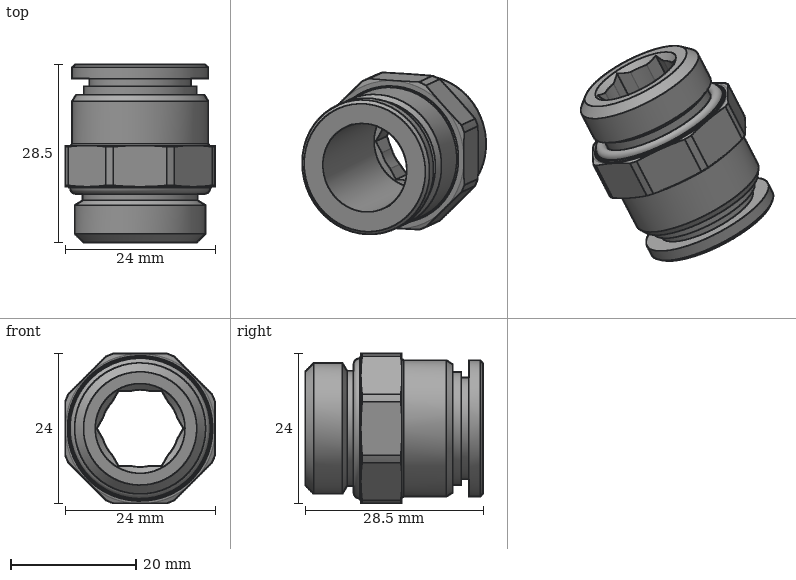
import cadquery as cq
import math

LENGTH = 28.5

end_face_radius = 9.05
thread_radius = 10.5
thread_chamfer_end = 1.4
thread_end = 5.98
neck_start = 6.73
neck_radius = 9.23

ring_section_radius = 1.0
ring_start = 7.75
ring_center_y = ring_start + ring_section_radius
ring_center_radius = neck_radius + ring_section_radius
gland_radius = ring_center_radius + ring_section_radius
gland_floor = ring_center_y + ring_section_radius
lip_radius = 11.4
lip_start = ring_center_y

octagon_start = 8.95
octagon_end = 15.5
octagon_width = 24.0
octagon_sides = 8
octagon_corner_radius = 12.75
octagon_face_radius = octagon_width / 2
octagon_chamfer_length = 0.2
relief_outer_radius = 11.63
relief_depth = 0.1

barrel_radius = 10.92
barrel_foot_radius = 11.12
barrel_foot_end = 15.8
barrel_chamfer_start = 22.63
barrel_end = 23.65
barrel_end_radius = 10.25

shoulder_radius = 9.05
shoulder_end = 25.0
collar_neck_radius = 8.15
flange_start = 26.22
flange_radius = barrel_radius
flange_chamfer_start = 28.02
flange_end_radius = 10.37

bore_radius = 7.18
socket_end = 5.4
socket_width = 11.97
socket_sides = 6
socket_relief_radius = 6.15
mouth_chamfer_depth = bore_radius - socket_relief_radius


def revolve_about_y(profile):
    """Turn a closed (radius, Y) profile into a solid of revolution."""
    return profile.close().revolve(360, (0, 0, 0), (0, 1, 0))


def prism_along_y(across_flats, sides, turn, start, end):
    """Regular prism along Y; a zero turn puts a corner on +X."""
    diameter = across_flats / math.cos(math.pi / sides)
    prism = cq.Workplane("XZ").polygon(sides, diameter).extrude(start - end)
    return prism.rotate((0, 0, 0), (0, 1, 0), turn).translate((0, start, 0))


def cylinder_along_y(radius, start, end):
    return cq.Workplane("XZ").circle(radius).extrude(start - end).translate((0, start, 0))


def make_turned_shape():
    """Turned outside of the body, still without octagon and bore."""
    return revolve_about_y(cq.Workplane("XY").polyline([
        (0, 0),
        (end_face_radius, 0),
        (thread_radius, thread_chamfer_end),
        (thread_radius, thread_end),
        (neck_radius, neck_start),
        (neck_radius, octagon_start),
        (barrel_foot_radius, octagon_start),
        (barrel_foot_radius, octagon_end),
        (barrel_radius, barrel_foot_end),
        (barrel_radius, barrel_chamfer_start),
        (barrel_end_radius, barrel_end),
        (shoulder_radius, barrel_end),
        (shoulder_radius, shoulder_end),
        (collar_neck_radius, shoulder_end),
        (collar_neck_radius, flange_start),
        (flange_radius, flange_start),
        (flange_radius, flange_chamfer_start),
        (flange_end_radius, LENGTH),
        (0, LENGTH),
    ]))


def make_octagon():
    """Octagon whose corners are turned round and chamfered at both ends."""
    half_corner_angle = 180 / octagon_sides
    octagon = prism_along_y(octagon_width, octagon_sides, half_corner_angle, octagon_start, octagon_end)
    envelope = revolve_about_y(cq.Workplane("XY").polyline([
        (0, octagon_start),
        (octagon_face_radius, octagon_start),
        (octagon_corner_radius, octagon_start + octagon_chamfer_length),
        (octagon_corner_radius, octagon_end - octagon_chamfer_length),
        (octagon_face_radius, octagon_end),
        (0, octagon_end),
    ]))
    return octagon.intersect(envelope)


def annulus_along_y(outer_radius, inner_radius, start, end):
    return cylinder_along_y(outer_radius, start, end).cut(cylinder_along_y(inner_radius, start, end))


def make_bore():
    """Through bore that narrows to a hexagon socket behind a 45 degree mouth."""
    mouth = revolve_about_y(cq.Workplane("XY").polyline([
        (0, 0),
        (bore_radius, 0),
        (socket_relief_radius, mouth_chamfer_depth),
        (0, mouth_chamfer_depth),
    ]))
    socket = prism_along_y(socket_width, socket_sides, 0, 0, socket_end)
    socket_relief = cylinder_along_y(socket_relief_radius, 0, socket_end)
    rear_bore = cylinder_along_y(bore_radius, socket_end, LENGTH)
    return socket.union(socket_relief).union(mouth).union(rear_bore)


def make_body():
    lip = annulus_along_y(lip_radius, gland_radius, lip_start, octagon_start + relief_depth)
    relief = annulus_along_y(relief_outer_radius, lip_radius, octagon_start, octagon_start + relief_depth)
    gland = annulus_along_y(gland_radius, neck_radius, lip_start, gland_floor)
    body = make_turned_shape().union(make_octagon()).union(lip)
    return body.cut(relief).cut(gland).cut(make_bore())


def make_sealing_ring():
    """Round-section ring that sits on the neck, half sunk in the gland."""
    section = cq.Workplane("XY").center(ring_center_radius, ring_center_y).circle(ring_section_radius)
    return section.revolve(360, (-ring_center_radius, 0, 0), (-ring_center_radius, 1, 0))


body = make_body()
sealing_ring = make_sealing_ring()
result = cq.Compound.makeCompound([body.solids().val(), sealing_ring.val()])